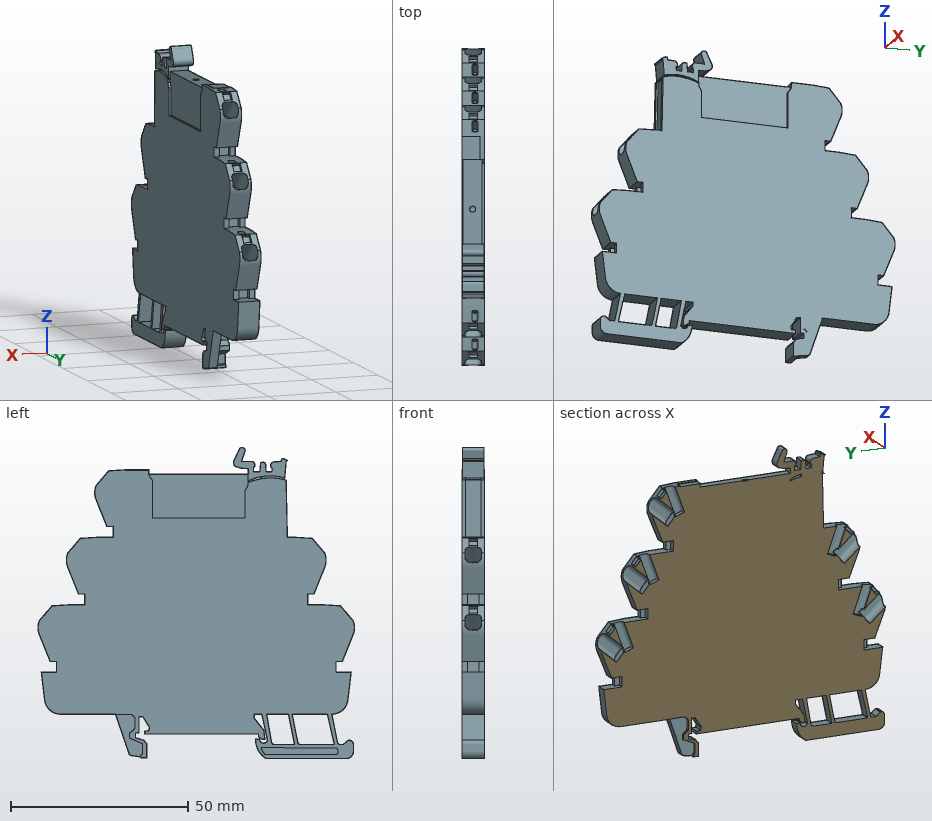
import cadquery as cq
import math

WIDTH = 6.4
LENGTH = 89.37
HEIGHT = 87.83
LEFT_FACE = -WIDTH / 2
RIGHT_FACE = WIDTH / 2

TIER_STEP_Y = 8.0
TIER_STEP_Z = 19.05
TIERS_BACK = 3
TIERS_FRONT = 2
BASE_BOTTOM = 12.5
BASE_TOP_LENGTH = 87.5
BASE_BOTTOM_LENGTH = 84.7
BASE_CORNER_RADIUS = 4.6
FIRST_SHELF = 24.4
NECK_INSET = 5.2
NECK_HEIGHT = 2.95
NOSE_RUN_BOTTOM = 3.45
NOSE_ROUND_INSET = 0.4
NOSE_ROUND_UPPER = 4.5
NOSE_ROUND_MIDDLE = 6.5
NOSE_ROUND_LOWER = 8.5
SLOPE_OUTER_INSET = 4.0
SLOPE_INNER_INSET = 8.85
SLOPE_DROP = 0.3

WIRE_WIDTH = 4.6
WIRE_LENGTH = 4.5
WIRE_CORNER = 1.4
WIRE_DISTANCE = 5.55
WIRE_DEPTH = 8.0
TEST_SIZE = 2.45
TEST_DISTANCE = 1.5
TEST_DEPTH = 1.0
DRIVER_WIDTH = 1.8
DRIVER_LENGTH = 3.1
DRIVER_X = 0.5
DRIVER_INSET = 5.8
DRIVER_DEPTH = 9.0
DRIVER_TILT = 20.0
MARKER_WIDTH = 3.2
MARKER_DEPTH = 1.5

COLUMN_TOP_Y = -25.4
COLUMN_FOOT_Y = -25.75
COLUMN_TOP = 78.6
COLUMN_CREST = 79.2
COLUMN_CREST_Y = -20.9
COLUMN_BACK_TOP = 78.0
COLUMN_GROOVE_WIDTH = 4.35
COLUMN_GROOVE_DEPTH = 0.5
RELAY_BACK = 13.4
RELAY_FRONT = -14.65
RELAY_TOP = 80.3
RELAY_BOTTOM = 67.85
RELAY_BACK_LOWER = 12.3
RELAY_FRONT_LOWER = -13.8
RELAY_BACK_SHOULDER_TOP = 80.0
RELAY_BACK_SHOULDER_BOTTOM = 78.4
RELAY_FRONT_SHOULDER_TOP = 77.2
RELAY_FRONT_SHOULDER_BOTTOM = 75.7
RELAY_LEFT_RECESS = 0.35
RELAY_RIGHT_RECESS = 0.7
LED_DIAMETER = 1.7
LED_DEPTH = 0.2
LABEL_RIM_X = 1.85
LABEL_DEPTH = 0.2

LEVER_WIDTH = 6.1
LEVER_WEB_WIDTH = 4.4

TONGUE_BOTTOM = 6.9
HOOK_BOTTOM = 0.2
GUSSET_THICKNESS = 2.6
FOOT_GROOVE_DEPTH = 1.0
STRUT_FILLET = 0.6
FOOT_BAR_TOP = 4.05
LEGS = [
    (-18.5, -19.9, -20.3, -21.4),
    (-26.0, -27.1, -27.7, -28.8),
    (-37.0, -38.3, -38.9, -40.0),
]


def prism(points, x_start=LEFT_FACE, x_end=RIGHT_FACE):
    """Closed (Y, Z) polygon extruded along X."""
    return cq.Workplane("YZ", origin=(x_start, 0, 0)).polyline(points).close().extrude(x_end - x_start)


def shelf_height(tier):
    return FIRST_SHELF + tier * TIER_STEP_Z


def tier_top(tier):
    return shelf_height(tier + 1)


def tip_y(tier):
    return LENGTH / 2 - tier * TIER_STEP_Y


def every_tier():
    """Pairs of side (+1 back, -1 front) and tier number."""
    return [(1, tier) for tier in range(TIERS_BACK)] + [(-1, tier) for tier in range(TIERS_FRONT)]


def tier_body(side, tier):
    """Neck and rounded nose of one tier, reaching inward to the middle of the housing."""
    tip = tip_y(tier)
    top = tier_top(tier)
    shelf = shelf_height(tier)
    nose_bottom = shelf + NECK_HEIGHT
    round_y = side * (tip - NOSE_ROUND_INSET)
    outline = (
        cq.Workplane("YZ", origin=(LEFT_FACE, 0, 0))
        .moveTo(0, shelf)
        .lineTo(0, top)
        .lineTo(side * (tip - SLOPE_INNER_INSET), top)
        .lineTo(side * (tip - SLOPE_OUTER_INSET), top - SLOPE_DROP)
        .lineTo(round_y, top - NOSE_ROUND_UPPER)
        .threePointArc((side * tip, top - NOSE_ROUND_MIDDLE), (round_y, top - NOSE_ROUND_LOWER))
        .lineTo(side * (tip - NOSE_RUN_BOTTOM), nose_bottom)
        .lineTo(side * (tip - NECK_INSET), nose_bottom)
        .lineTo(side * (tip - NECK_INSET), shelf)
        .close()
    )
    return outline.extrude(WIDTH)


def base_body():
    """Bottom block with rounded lower corners."""
    top_half = BASE_TOP_LENGTH / 2
    bottom_half = BASE_BOTTOM_LENGTH / 2
    block = prism([
        (-top_half, FIRST_SHELF),
        (top_half, FIRST_SHELF),
        (bottom_half, BASE_BOTTOM),
        (-bottom_half, BASE_BOTTOM),
    ])
    return block.edges("|X and <Z").fillet(BASE_CORNER_RADIUS)


def column_body():
    """Front column below the lever, with an arched top."""
    shelf = shelf_height(TIERS_FRONT)
    outline = (
        cq.Workplane("YZ", origin=(LEFT_FACE, 0, 0))
        .moveTo(0, shelf)
        .lineTo(0, COLUMN_BACK_TOP)
        .lineTo(RELAY_FRONT, COLUMN_BACK_TOP)
        .threePointArc((COLUMN_CREST_Y, COLUMN_CREST), (COLUMN_TOP_Y, COLUMN_TOP))
        .lineTo(COLUMN_FOOT_Y, shelf)
        .close()
    )
    return outline.extrude(WIDTH)


def relay_outline():
    """Relay side profile, narrower below its sloped shoulders."""
    return [
        (RELAY_BACK, RELAY_TOP),
        (RELAY_BACK, RELAY_BACK_SHOULDER_TOP),
        (RELAY_BACK_LOWER, RELAY_BACK_SHOULDER_BOTTOM),
        (RELAY_BACK_LOWER, RELAY_BOTTOM),
        (RELAY_FRONT_LOWER, RELAY_BOTTOM),
        (RELAY_FRONT_LOWER, RELAY_FRONT_SHOULDER_BOTTOM),
        (RELAY_FRONT, RELAY_FRONT_SHOULDER_TOP),
        (RELAY_FRONT, RELAY_TOP),
    ]


def relay_window():
    """Space taken by the relay across the full width, open at the top."""
    return prism(relay_outline() + [(RELAY_FRONT, HEIGHT), (RELAY_BACK, HEIGHT)])


def relay_body():
    """Relay block, set back from both side faces, with an indicator on top."""
    left = LEFT_FACE + RELAY_LEFT_RECESS
    right = RIGHT_FACE - RELAY_RIGHT_RECESS
    centre = ((left + right) / 2, (RELAY_BACK + RELAY_FRONT) / 2, RELAY_TOP - LED_DEPTH)
    led = cq.Workplane("XY", origin=centre).circle(LED_DIAMETER / 2).extrude(LED_DEPTH)
    return prism(relay_outline(), left, right).cut(led)


def label_recess():
    """Shallow step on top of the highest tier, leaving a rim along the right face."""
    top = tier_top(TIERS_BACK - 1)
    inner = RELAY_BACK
    outer = tip_y(TIERS_BACK - 1) - SLOPE_INNER_INSET
    return prism(
        [(inner, top), (outer, top), (outer, top - LABEL_DEPTH), (inner, top - LABEL_DEPTH)],
        LEFT_FACE,
        LABEL_RIM_X,
    )


def column_groove():
    """Label groove down the front of the column, following its slope."""
    shelf = shelf_height(TIERS_FRONT)
    half = COLUMN_GROOVE_WIDTH / 2
    return prism(
        [
            (COLUMN_FOOT_Y - COLUMN_GROOVE_DEPTH, shelf),
            (COLUMN_FOOT_Y + COLUMN_GROOVE_DEPTH, shelf),
            (COLUMN_TOP_Y + COLUMN_GROOVE_DEPTH, COLUMN_TOP),
            (COLUMN_TOP_Y - COLUMN_GROOVE_DEPTH, COLUMN_TOP),
        ],
        -half,
        half,
    )


def slanted_plane(side, tier, distance):
    """Plane on the slanted nose face, a given distance down from its upper edge."""
    run = SLOPE_OUTER_INSET - NOSE_ROUND_INSET
    fall = NOSE_ROUND_UPPER - SLOPE_DROP
    length = math.hypot(run, fall)
    y = tip_y(tier) - SLOPE_OUTER_INSET + distance * run / length
    z = tier_top(tier) - SLOPE_DROP - distance * fall / length
    return cq.Plane(origin=(0, side * y, z), xDir=(1, 0, 0), normal=(0, side * fall, run))


def wire_opening(side, tier):
    plane = slanted_plane(side, tier, WIRE_DISTANCE)
    opening = cq.Workplane(plane).rect(WIRE_WIDTH, WIRE_LENGTH).extrude(2 * WIRE_DEPTH)
    opening = opening.translate(plane.zDir * -WIRE_DEPTH)
    return opening.edges(cq.selectors.ParallelDirSelector(plane.zDir)).fillet(WIRE_CORNER)


def test_opening(side, tier):
    plane = slanted_plane(side, tier, TEST_DISTANCE)
    return cq.Workplane(plane).rect(TEST_SIZE, TEST_SIZE).extrude(-TEST_DEPTH)


def driver_opening(side, tier):
    """Tilted screwdriver slot in the top of a tier."""
    tilt = math.radians(DRIVER_TILT)
    plane = cq.Plane(
        origin=(DRIVER_X, side * (tip_y(tier) - DRIVER_INSET), tier_top(tier)),
        xDir=(1, 0, 0),
        normal=(0, side * math.sin(tilt), math.cos(tilt)),
    )
    slot = cq.Workplane(plane).slot2D(DRIVER_LENGTH, DRIVER_WIDTH, 90).extrude(2 * DRIVER_DEPTH)
    return slot.translate(plane.zDir * -DRIVER_DEPTH)


def marker_slot(side, tier):
    """Slot in the neck face under a nose."""
    face_y = tip_y(tier) - NECK_INSET
    centre = (0, side * (face_y - MARKER_DEPTH / 2), shelf_height(tier) + NECK_HEIGHT / 2)
    return cq.Workplane("XY", origin=centre).box(MARKER_WIDTH, MARKER_DEPTH, NECK_HEIGHT)


def lever_body():
    """Ejector lever: bent thumb tab, gripping ribs and a thin web down to the column."""
    half = LEVER_WIDTH / 2
    outline = (
        cq.Workplane("YZ", origin=(-half, 0, 0))
        .moveTo(RELAY_FRONT, 81.8)
        .lineTo(-12.8, 81.9)
        .lineTo(-11.1, 82.4)
        .threePointArc((-10.55, 83.1), (-10.6, 84.1))
        .lineTo(-12.05, 87.1)
        .threePointArc((-12.95, HEIGHT), (-13.8, 86.7))
        .lineTo(-12.8, 83.9)
        .lineTo(-16.0, 83.9)
        .lineTo(-16.5, 83.3)
        .lineTo(-16.6, 82.4)
        .lineTo(-16.2, 82.1)
        .lineTo(-16.2, 81.0)
        .lineTo(-17.9, 81.0)
        .lineTo(-18.15, 83.5)
        .threePointArc((-18.9, 83.65), (-19.6, 83.3))
        .lineTo(-19.75, 81.0)
        .lineTo(-21.3, 81.0)
        .lineTo(-21.4, 81.8)
        .lineTo(-21.0, 82.4)
        .threePointArc((-21.2, 83.4), (-22.1, 83.8))
        .lineTo(-23.9, 83.9)
        .lineTo(-24.1, 84.6)
        .lineTo(-24.6, 84.7)
        .lineTo(-25.7, 84.2)
        .lineTo(-25.4, 83.8)
        .lineTo(-25.0, 79.2)
        .threePointArc((-20.8, 79.8), (RELAY_FRONT, 78.3))
        .close()
    )
    web_half = LEVER_WEB_WIDTH / 2
    web = prism([(-18.2, 78.0), (-18.2, 80.5), (-24.8, 80.5), (-24.8, 78.0)], -web_half, web_half)
    return outline.extrude(LEVER_WIDTH).union(web)


def tongue_body():
    """Underside block that rests on the mounting rail, with a lip at each end."""
    return prism([
        (14.6, TONGUE_BOTTOM),
        (14.6, 7.8),
        (13.4, 7.9),
        (13.2, 8.8),
        (15.1, 11.8),
        (15.1, BASE_BOTTOM),
        (-16.4, BASE_BOTTOM),
        (-16.4, 11.4),
        (-19.1, 8.0),
        (-19.4, 5.4),
        (-18.6, 5.4),
        (-17.5, 6.2),
        (-17.5, TONGUE_BOTTOM),
    ])


def hook_body():
    """Fixed rail hook: a cranked strip stiffened by a gusset on the right face side."""
    strip = prism([
        (18.3, BASE_BOTTOM),
        (17.3, 11.6),
        (17.3, 8.5),
        (18.8, 7.2),
        (18.8, 5.8),
        (15.2, 4.2),
        (15.2, 1.3),
        (15.55, 1.0),
        (15.55, HOOK_BOTTOM),
        (13.95, HOOK_BOTTOM),
        (13.95, 4.2),
        (14.8, 5.2),
        (17.1, 5.9),
        (17.1, 7.2),
        (16.1, 7.3),
        (16.1, 11.8),
        (15.0, 11.8),
        (15.0, BASE_BOTTOM),
    ])
    gusset = prism(
        [
            (22.8, BASE_BOTTOM),
            (18.9, 1.1),
            (18.2, 0.8),
            (15.2, 0.4),
            (15.2, 4.2),
            (18.0, 5.5),
            (18.0, 7.9),
            (17.3, 8.5),
            (17.3, BASE_BOTTOM),
        ],
        RIGHT_FACE - GUSSET_THICKNESS,
        RIGHT_FACE,
    )
    return strip.union(gusset)


def strut(top_back, top_front, bottom_back, bottom_front):
    """Slanting leg between the base and the foot bar."""
    return prism([
        (top_back, BASE_BOTTOM),
        (top_front, BASE_BOTTOM),
        (bottom_front, FOOT_BAR_TOP),
        (bottom_back, FOOT_BAR_TOP),
    ])


def foot_body():
    """Sprung rail foot: a bar hung from three slanting legs, grooved on its left face."""
    bar = (
        cq.Workplane("YZ", origin=(LEFT_FACE, 0, 0))
        .moveTo(-16.7, 5.5)
        .lineTo(-17.9, 5.5)
        .threePointArc((-18.9, 4.4), (-20.1, 5.3))
        .lineTo(-20.5, FOOT_BAR_TOP)
        .lineTo(-41.5, FOOT_BAR_TOP)
        .lineTo(-42.9, 5.2)
        .lineTo(-43.2, 5.2)
        .threePointArc((-44.05, 4.85), (-44.4, 4.0))
        .lineTo(-44.4, 1.9)
        .threePointArc((-43.8, 0.6), (-42.4, 0))
        .lineTo(-19.7, 0)
        .threePointArc((-17.5, 2.3), (-16.7, 5.5))
        .close()
        .extrude(WIDTH)
    )
    groove = prism(
        [(-18.4, 3.1), (-39.6, 3.0), (-40.0, 2.5), (-40.0, 1.5), (-39.5, 1.1), (-19.4, 1.1), (-18.4, 2.6)],
        LEFT_FACE,
        LEFT_FACE + FOOT_GROOVE_DEPTH,
    )
    foot = bar.cut(groove)
    for leg in LEGS:
        foot = foot.union(strut(*leg))
    for _, _, _, root_front in LEGS:
        root_edge = cq.selectors.NearestToPointSelector((0, root_front, FOOT_BAR_TOP))
        foot = foot.edges(root_edge).fillet(STRUT_FILLET)
    return foot


body = base_body()
for side, tier in every_tier():
    body = body.union(tier_body(side, tier))
body = body.union(column_body())
body = body.cut(relay_window()).cut(label_recess()).cut(column_groove())
for side, tier in every_tier():
    body = body.cut(wire_opening(side, tier))
    body = body.cut(test_opening(side, tier))
    body = body.cut(driver_opening(side, tier))
    body = body.cut(marker_slot(side, tier))
for addition in (relay_body(), lever_body(), tongue_body(), hook_body(), foot_body()):
    body = body.union(addition)

result = body